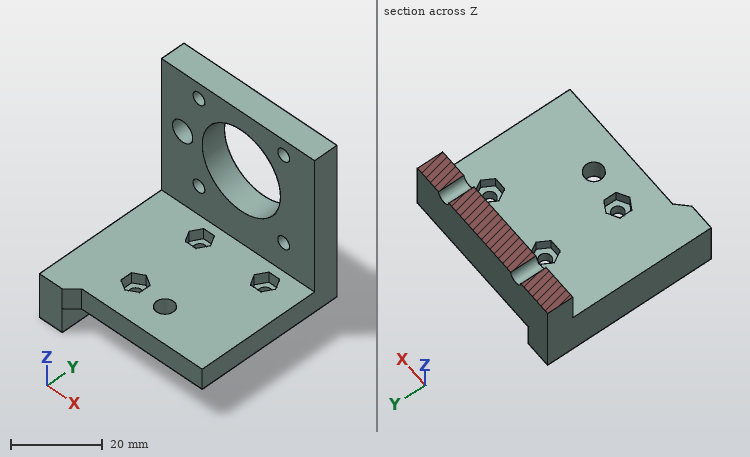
import cadquery as cq

width = 47.0
depth = 45.0
height = 52.0

wall_thickness = 7.0
plate_thickness = 6.0
plate_bottom = 7.0
plate_top = plate_bottom + plate_thickness
rib_width = 7.0
front_setback = 3.0

motor_x = 24.5
motor_z = 34.5
motor_bore_diameter = 24.0
motor_screw_spacing = 26.0
motor_screw_diameter = 3.6
side_hole_offset = 18.0
side_hole_diameter = 6.2

nut_spacing = 20.0
nut_left_x = 17.0
nut_right_x = nut_left_x + nut_spacing
nut_back_y = 32.7
nut_front_y = nut_back_y - nut_spacing
nut_across_corners = 6.6
nut_pocket_depth = plate_thickness / 2
nut_screw_diameter = 3.2
corners_along_x = 0.0
corners_along_y = 30.0
plate_hole_x = nut_left_x + nut_spacing / 2
plate_hole_y = 11.7
plate_hole_diameter = 5.0


def make_body():
    """L-shaped bracket with a full-depth rib along its left edge."""
    plate = (
        cq.Workplane("XY", origin=(0, 0, plate_bottom))
        .moveTo(0, 0)
        .lineTo(rib_width, 0)
        .lineTo(rib_width + front_setback, front_setback)
        .lineTo(width, front_setback)
        .lineTo(width, depth)
        .lineTo(0, depth)
        .close()
        .extrude(plate_thickness)
    )
    rib = cq.Workplane("XY").box(rib_width, depth, plate_top, centered=False)
    upright = (
        cq.Workplane("XY", origin=(0, depth - wall_thickness, plate_bottom))
        .box(width, wall_thickness, height - plate_bottom, centered=False)
    )
    return plate.union(rib).union(upright)


def wall_hole(x, z, diameter):
    """Cutter for a round hole through the upright wall."""
    return (
        cq.Workplane("XZ", origin=(x, depth, z))
        .circle(diameter / 2)
        .extrude(wall_thickness)
    )


def plate_hole(x, y, diameter):
    """Cutter for a round hole through the plate."""
    return (
        cq.Workplane("XY", origin=(x, y, plate_bottom))
        .circle(diameter / 2)
        .extrude(plate_thickness)
    )


def nut_pocket(x, y, turn):
    """Cutter for a screw hole with a hexagonal nut pocket, turned by an angle in degrees."""
    pocket = (
        cq.Workplane("XY", origin=(x, y, plate_top - nut_pocket_depth))
        .transformed(rotate=(0, 0, turn))
        .polygon(6, nut_across_corners)
        .extrude(nut_pocket_depth)
    )
    return pocket.union(plate_hole(x, y, nut_screw_diameter))


result = make_body()

result = result.cut(wall_hole(motor_x, motor_z, motor_bore_diameter))
for side_x in (-1, 1):
    for side_z in (-1, 1):
        screw_x = motor_x + side_x * motor_screw_spacing / 2
        screw_z = motor_z + side_z * motor_screw_spacing / 2
        result = result.cut(wall_hole(screw_x, screw_z, motor_screw_diameter))
result = result.cut(wall_hole(motor_x - side_hole_offset, motor_z, side_hole_diameter))

for nut_x, nut_y, nut_turn in (
    (nut_left_x, nut_back_y, corners_along_x),
    (nut_right_x, nut_back_y, corners_along_x),
    (nut_left_x, nut_front_y, corners_along_y),
):
    result = result.cut(nut_pocket(nut_x, nut_y, nut_turn))
result = result.cut(plate_hole(plate_hole_x, plate_hole_y, plate_hole_diameter))